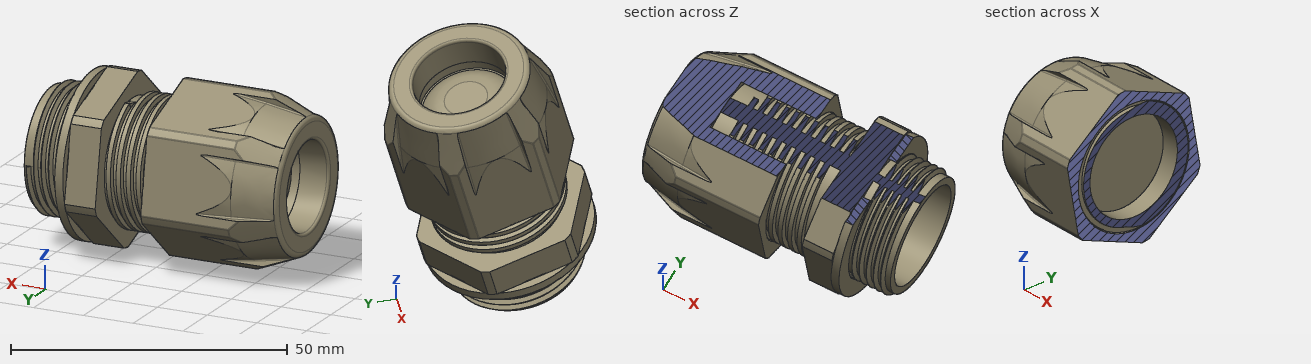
import cadquery as cq
import math

RIM_X = 0.6
VALLEY_BEND_X = 8.6
VALLEY_END_X = 15.75
CAP_END_X = 26.15
HEX_START_X = 35.3
HEX_END_X = 41.45
GASKET_START_X = 41.55
GASKET_END_X = 43.2
LENGTH = 51.45

ACROSS_FLATS = 29.0
CORNER_DIAMETER = 32.55
HEX_TURN = 10.0
CORNER_COUNT = 6
CORNER_STEP = 360.0 / CORNER_COUNT
APOTHEM = ACROSS_FLATS / 2

RIM_DIAMETER = 26.25
FACE_DIAMETER = 24.1
MOUTH_DIAMETER = 18.25
BORE_DIAMETER = 17.25
RIB_TAPER = 21.8
VALLEY_HALF_WIDTH = 5.6
VALLEY_WALL_ANGLE = 15.0
VALLEY_FILLET = 0.25
EDGE_ROUND = 0.4
CAP_THREAD_BORE = 25.85
END_MARGIN = 0.5
CUTTER_RADIUS = 23.15

SEAL_DIAMETER = 20.3
SEAL_START_X = 5.9
SEAL_END_X = 18.0
SEAL_BORE = 18.0
DOME_DIAMETER = 17.25
DOME_FLAT_DIAMETER = 8.05
DOME_TOP_X = 6.05
DOME_FOOT_X = 8.15

BARREL_START_X = 10.3
BARREL_DIAMETER = 23.55
STUB_DIAMETER = 23.35
COLLAR_DIAMETER = 28.8
GASKET_DIAMETER = 32.0
GASKET_BORE = 25.1

BARREL_THREAD_DIAMETER = 25.5
BARREL_PITCH = 2.0
BARREL_THREAD_BASE = 1.1
BARREL_THREAD_CREST = 0.9
BARREL_THREAD_END_X = 34.4
BARREL_THREAD_END_ANGLE = 71.0
BARREL_TURNS = 10
RUN_OUT_END_Y = 1.65

STUB_THREAD_DIAMETER = 25.0
STUB_PITCH = 1.5
STUB_THREAD_BASE = 1.0
STUB_THREAD_CREST = 0.05
STUB_THREAD_END_X = 50.65
STUB_THREAD_END_ANGLE = 0.0
STUB_TURNS = 5.4
THREAD_ROOT_SINK = 0.15


def cylinder(start_x, end_x, diameter):
    return cq.Workplane("YZ", origin=(start_x, 0, 0)).circle(diameter / 2).extrude(end_x - start_x)


def revolve_about_axis(profile):
    return profile.revolve(360, (0, 0, 0), (1, 0, 0))


def hexagon(start_x, end_x):
    """Hexagonal prism along X with its corners turned down to a cylinder."""
    prism = (
        cq.Workplane("YZ", origin=(start_x, 0, 0))
        .polygon(CORNER_COUNT, ACROSS_FLATS, circumscribed=True)
        .extrude(end_x - start_x)
        .rotate((0, 0, 0), (1, 0, 0), HEX_TURN)
    )
    return prism.intersect(cylinder(start_x, end_x, CORNER_DIAMETER))


def thread_ridge(core_diameter, outer_diameter, pitch, base, crest, turns, end_x, end_angle):
    """Right-handed helical ridge that ends at end_x and end_angle (from +Y towards +Z)."""
    root = core_diameter / 2 - THREAD_ROOT_SINK
    height = (outer_diameter - core_diameter) / 2
    sunk_base = base + (base - crest) * THREAD_ROOT_SINK / height
    length = turns * pitch
    path = cq.Wire.makeHelix(pitch, length, core_diameter / 2)
    ridge = (
        cq.Workplane("XZ")
        .polyline([
            (root, -sunk_base / 2),
            (outer_diameter / 2, -crest / 2),
            (outer_diameter / 2, crest / 2),
            (root, sunk_base / 2),
        ])
        .close()
        .sweep(cq.Workplane(obj=path), isFrenet=True)
    )
    ridge = ridge.rotate((0, 0, 0), (1, 1, 1), 120)
    return (
        ridge.rotate((0, 0, 0), (1, 0, 0), end_angle - 360 * turns)
        .translate((end_x - length, 0, 0))
    )


def cap_blank():
    """Hexagon with a tapered nose and lightly rounded edges."""
    back_radius = RIM_DIAMETER / 2 + (CAP_END_X - RIM_X) * math.tan(math.radians(RIB_TAPER))
    face = FACE_DIAMETER / 2
    rim = RIM_DIAMETER / 2
    nose = revolve_about_axis(
        cq.Workplane("XY")
        .lineTo(0, face)
        .tangentArcPoint((RIM_X, rim - face))
        .lineTo(CAP_END_X, back_radius)
        .lineTo(CAP_END_X, 0)
        .close()
    )
    blank = hexagon(0, CAP_END_X).intersect(nose)
    side_edges = cq.selectors.BoxSelector(
        (RIM_X + END_MARGIN, -LENGTH, -LENGTH), (CAP_END_X - END_MARGIN, LENGTH, LENGTH)
    )
    return blank.edges(side_edges).fillet(EDGE_ROUND)


def cap_valley():
    """Cutter for the hollow between two ribs, centred on +Y."""
    valley_end_radius = math.hypot(APOTHEM, VALLEY_HALF_WIDTH)
    end_slope = (valley_end_radius - APOTHEM) / (VALLEY_END_X - VALLEY_BEND_X)
    back_radius = APOTHEM + (CAP_END_X - VALLEY_BEND_X) * end_slope
    outside = revolve_about_axis(
        cq.Workplane("XY")
        .moveTo(RIM_X, RIM_DIAMETER / 2)
        .lineTo(VALLEY_BEND_X, APOTHEM)
        .lineTo(CAP_END_X, back_radius)
        .lineTo(CAP_END_X, CUTTER_RADIUS)
        .lineTo(RIM_X, CUTTER_RADIUS)
        .close()
    )
    wall_slope = math.tan(math.radians(VALLEY_WALL_ANGLE))
    inner_half_width = VALLEY_HALF_WIDTH - APOTHEM * wall_slope
    outer_half_width = VALLEY_HALF_WIDTH + (CUTTER_RADIUS - APOTHEM) * wall_slope
    wedge = (
        cq.Workplane("YZ")
        .polyline([
            (0, -inner_half_width),
            (CUTTER_RADIUS, -outer_half_width),
            (CUTTER_RADIUS, outer_half_width),
            (0, inner_half_width),
        ])
        .close()
        .extrude(CAP_END_X)
    )
    foot_edges = cq.selectors.BoxSelector(
        (RIM_X + END_MARGIN, 0, -LENGTH), (CAP_END_X - END_MARGIN, CORNER_DIAMETER / 2, LENGTH)
    )
    return outside.intersect(wedge).edges(foot_edges).edges("not %CIRCLE").fillet(VALLEY_FILLET)


def make_cap():
    cap = cap_blank()
    valley = cap_valley()
    for index in range(CORNER_COUNT):
        angle = 90 + HEX_TURN + CORNER_STEP * (index + 0.5)
        cap = cap.cut(valley.rotate((0, 0, 0), (1, 0, 0), angle))
    mouth_round = (MOUTH_DIAMETER - BORE_DIAMETER) / 2
    cap = cap.cut(cylinder(0, SEAL_START_X, BORE_DIAMETER))
    cap = cap.faces("<X").edges("%CIRCLE").edges(cq.selectors.RadiusNthSelector(0)).fillet(mouth_round)
    cap = cap.cut(cylinder(SEAL_START_X, BARREL_START_X, SEAL_DIAMETER))
    return cap.cut(cylinder(BARREL_START_X, CAP_END_X, CAP_THREAD_BORE))


def make_seal():
    """Round plug with a recessed front that is closed by a flat-topped dome."""
    rise = DOME_FOOT_X - DOME_TOP_X
    reach = (DOME_DIAMETER - DOME_FLAT_DIAMETER) / 2
    return revolve_about_axis(
        cq.Workplane("XY")
        .moveTo(DOME_TOP_X, 0)
        .lineTo(DOME_TOP_X, DOME_FLAT_DIAMETER / 2)
        .tangentArcPoint((rise, reach))
        .lineTo(DOME_FOOT_X, SEAL_BORE / 2)
        .lineTo(SEAL_START_X, SEAL_BORE / 2)
        .lineTo(SEAL_START_X, SEAL_DIAMETER / 2)
        .lineTo(SEAL_END_X, SEAL_DIAMETER / 2)
        .lineTo(SEAL_END_X, 0)
        .close()
    )


def thread_run_out():
    """Wedge that fades the barrel thread into the barrel."""
    core = BARREL_DIAMETER / 2
    crest = BARREL_THREAD_DIAMETER / 2
    angle = math.radians(BARREL_THREAD_END_ANGLE)
    inner = core - THREAD_ROOT_SINK
    return (
        cq.Workplane("YZ", origin=(BARREL_THREAD_END_X - BARREL_THREAD_BASE / 2, 0, 0))
        .polyline([
            (inner * math.cos(angle), inner * math.sin(angle)),
            (crest * math.cos(angle), crest * math.sin(angle)),
            (RUN_OUT_END_Y, math.sqrt(core**2 - RUN_OUT_END_Y**2)),
        ])
        .close()
        .extrude(BARREL_THREAD_BASE)
    )


def make_body():
    barrel_ridge = thread_ridge(
        BARREL_DIAMETER, BARREL_THREAD_DIAMETER, BARREL_PITCH, BARREL_THREAD_BASE,
        BARREL_THREAD_CREST, BARREL_TURNS, BARREL_THREAD_END_X, BARREL_THREAD_END_ANGLE,
    )
    stub_ridge = thread_ridge(
        STUB_DIAMETER, STUB_THREAD_DIAMETER, STUB_PITCH, STUB_THREAD_BASE,
        STUB_THREAD_CREST, STUB_TURNS, STUB_THREAD_END_X, STUB_THREAD_END_ANGLE,
    )
    return (
        cylinder(BARREL_START_X, HEX_START_X, BARREL_DIAMETER)
        .union(barrel_ridge)
        .union(thread_run_out())
        .union(hexagon(HEX_START_X, HEX_END_X))
        .union(cylinder(HEX_END_X, GASKET_START_X, COLLAR_DIAMETER))
        .union(cylinder(GASKET_START_X, LENGTH, STUB_DIAMETER).union(stub_ridge))
        .cut(cylinder(BARREL_START_X, LENGTH, SEAL_DIAMETER))
    )


def make_gasket():
    ring = cylinder(GASKET_START_X, GASKET_END_X, GASKET_DIAMETER)
    return ring.cut(cylinder(GASKET_START_X, GASKET_END_X, GASKET_BORE))


cap = make_cap()
seal = make_seal()
body = make_body()
gasket = make_gasket()

result = cq.Compound.makeCompound([part.solids().val() for part in (cap, seal, body, gasket)])